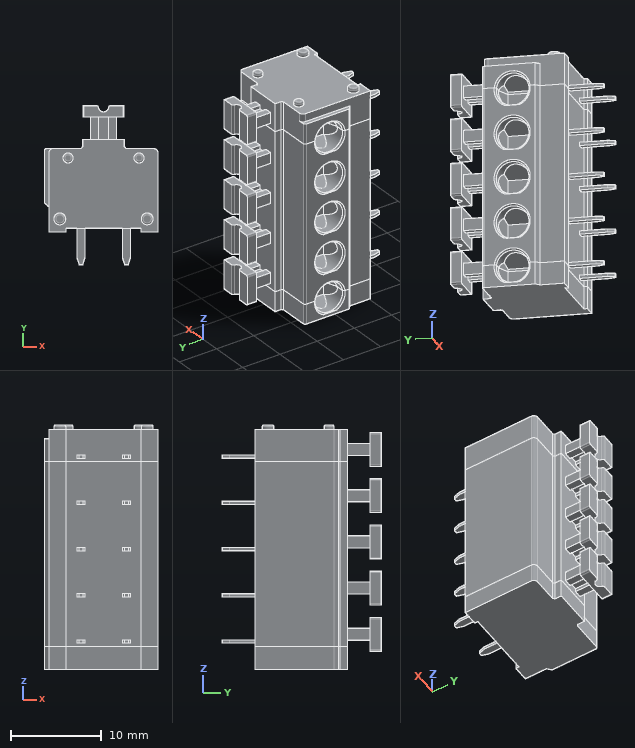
import cadquery as cq

pole_count = 5
pitch = 5.08
end_height = pitch / 2
stack_height = pole_count * pitch
cover_thickness = 1.0
housing_top = stack_height + cover_thickness
upper_split = stack_height - end_height

housing_width = 12.0
half_width = housing_width / 2
shoulder_y = 9.2
shoulder_radius = 0.5
foot_width = 1.9
foot_height = 0.4
ridge_half_width = 2.3
ridge_top = 10.2
ridge_root = 0.18

entry_raise = 0.5
entry_bottom_y = 2.75
entry_slope = 0.45
entry_radius = 0.25

hole_y = 5.8
hole_z = 2.28
hole_diameter = 3.7
hole_chamfer = 0.2
hole_flat = 1.85
bore_depth = 1.2
funnel_length = 1.77
throat_half_width = 1.22
throat_below = 1.34
throat_above = 0.54

pin_z = end_height + 0.55
pin_spacing = 5.0
pin_middle_x = 0.02
pin_width = 0.9
pin_thickness = 0.38
pin_tip_y = -3.6
pin_tip_width = 0.4
pin_taper = 0.8

button_z = end_height + 1.34
head_width = 4.5
head_height = 3.75
head_bottom_y = 12.64
head_top_y = 13.9
head_radius = 0.18
notch_half_width = 0.54
notch_depth = 0.68
notch_rounding = 0.25
stem_width = 2.9
stem_height = 1.35
groove_width = 1.1
groove_depth = 0.47

peg_rows = [(3.9, 8.15, 1.1), (4.8, 1.45, 1.3)]
peg_height = 0.5
peg_rounding = 0.2


def housing_block(z_bottom, z_top):
    """Housing outline with feet and ridge, from z_bottom to z_top."""
    outline = (
        cq.Workplane("XY", origin=(0, 0, z_bottom))
        .moveTo(-half_width, 0)
        .lineTo(-half_width + foot_width, 0)
        .lineTo(-half_width + foot_width, foot_height)
        .lineTo(half_width - foot_width, foot_height)
        .lineTo(half_width - foot_width, 0)
        .lineTo(half_width, 0)
        .lineTo(half_width, shoulder_y - shoulder_radius)
        .radiusArc((half_width - shoulder_radius, shoulder_y), -shoulder_radius)
        .lineTo(ridge_half_width + ridge_root, shoulder_y)
        .lineTo(ridge_half_width, shoulder_y + ridge_root)
        .lineTo(ridge_half_width, ridge_top)
        .lineTo(-ridge_half_width, ridge_top)
        .lineTo(-ridge_half_width, shoulder_y + ridge_root)
        .lineTo(-ridge_half_width - ridge_root, shoulder_y)
        .lineTo(-half_width + shoulder_radius, shoulder_y)
        .radiusArc((-half_width, shoulder_y - shoulder_radius), -shoulder_radius)
        .close()
    )
    return outline.extrude(z_top - z_bottom)


def entry_face(z_bottom, z_top):
    """Raised wire entry face, reaching into the housing past its rounded corner."""
    face_x = -half_width - entry_raise
    inner_x = -half_width + shoulder_radius
    outline = (
        cq.Workplane("XY", origin=(0, 0, z_bottom))
        .moveTo(inner_x, entry_bottom_y)
        .lineTo(-half_width, entry_bottom_y)
        .lineTo(face_x, entry_bottom_y + entry_slope)
        .lineTo(face_x, shoulder_y - entry_radius)
        .radiusArc((face_x + entry_radius, shoulder_y), entry_radius)
        .lineTo(inner_x, shoulder_y)
        .close()
    )
    return outline.extrude(z_top - z_bottom)


def entry_hole(index):
    """Cutter for one wire entry: chamfered bore with a flat floor, then a tapered funnel."""
    centre = (-half_width - entry_raise, hole_y, hole_z + index * pitch)
    radius = hole_diameter / 2
    mouth_radius = radius + hole_chamfer
    depth = bore_depth + funnel_length

    bore = cq.Workplane("YZ", origin=centre).circle(radius).extrude(depth)
    mouth = (
        cq.Workplane("YZ", origin=centre)
        .circle(mouth_radius)
        .workplane(offset=hole_chamfer)
        .circle(radius)
        .loft(ruled=True)
    )
    floor_limit = (
        cq.Workplane("YZ", origin=centre)
        .center(0, (mouth_radius - hole_flat) / 2)
        .rect(2 * mouth_radius, mouth_radius + hole_flat)
        .extrude(bore_depth)
    )
    funnel = (
        cq.Workplane("YZ", origin=centre)
        .workplane(offset=bore_depth)
        .center(0, (radius - hole_flat) / 2)
        .rect(2 * radius, radius + hole_flat)
        .workplane(offset=funnel_length)
        .center(0, (throat_above - throat_below) / 2 - (radius - hole_flat) / 2)
        .rect(2 * throat_half_width, throat_above + throat_below)
        .loft(ruled=True)
    )
    return bore.union(mouth).intersect(floor_limit.union(funnel))


def pin(middle_x, middle_z):
    """Flat solder pin with a tapered tip, starting on the recessed board face."""
    half = pin_width / 2
    half_tip = pin_tip_width / 2
    outline = (
        cq.Workplane("XY", origin=(middle_x, 0, middle_z - pin_thickness / 2))
        .moveTo(-half, foot_height)
        .lineTo(-half, pin_tip_y + pin_taper)
        .lineTo(-half_tip, pin_tip_y)
        .lineTo(half_tip, pin_tip_y)
        .lineTo(half, pin_tip_y + pin_taper)
        .lineTo(half, foot_height)
        .close()
    )
    return outline.extrude(pin_thickness)


def button(middle_z):
    """Release button: grooved stem on the ridge and a notched, rounded head."""
    half_mouth = notch_half_width + notch_rounding
    lip_y = head_top_y - notch_rounding
    notch_floor_y = head_top_y - notch_depth
    head = (
        cq.Workplane("XY", origin=(0, 0, middle_z))
        .center(0, (head_bottom_y + head_top_y) / 2)
        .box(head_width, head_top_y - head_bottom_y, head_height)
        .edges("|Y")
        .fillet(head_radius)
    )
    notch = (
        cq.Workplane("XY", origin=(0, 0, middle_z - head_height / 2))
        .moveTo(-half_mouth, head_top_y)
        .radiusArc((-notch_half_width, lip_y), notch_rounding)
        .threePointArc((0, notch_floor_y), (notch_half_width, lip_y))
        .radiusArc((half_mouth, head_top_y), notch_rounding)
        .close()
        .extrude(head_height)
    )
    stem_length = head_bottom_y - ridge_top
    stem_middle = (0, ridge_top + stem_length / 2, middle_z)
    stem = cq.Workplane("XY", origin=stem_middle).box(stem_width, stem_length, stem_height)
    for side in (-1, 1):
        groove = (
            cq.Workplane("XY", origin=stem_middle)
            .box(groove_width, stem_length, 2 * groove_depth)
            .translate((0, 0, side * stem_height / 2))
        )
        stem = stem.cut(groove)
    return head.cut(notch).union(stem)


def add_pole_parts(body, poles):
    """Join the pins and the button of each listed pole to a housing section."""
    for index in poles:
        rise = index * pitch
        for side in (-1, 1):
            body = body.union(pin(pin_middle_x + side * pin_spacing / 2, pin_z + rise))
        body = body.union(button(button_z + rise))
    return body


def cut_entry_holes(body, poles):
    """Cut the wire entry holes of the listed poles."""
    for index in poles:
        body = body.cut(entry_hole(index))
    return body


def add_pegs(body):
    """Add the rounded locating pegs to the top face."""
    for offset, peg_y, diameter in peg_rows:
        pegs = (
            cq.Workplane("XY", origin=(0, peg_y, housing_top))
            .pushPoints([(-offset, 0), (offset, 0)])
            .circle(diameter / 2)
            .extrude(peg_height)
            .faces(">Z")
            .edges()
            .fillet(peg_rounding)
        )
        body = body.union(pegs)
    return body


last_pole = pole_count - 1

bottom_section = housing_block(0, end_height).union(entry_face(0, end_height))
bottom_section = cut_entry_holes(bottom_section, [0])

middle_section = housing_block(end_height, upper_split).union(entry_face(end_height, upper_split))
middle_section = cut_entry_holes(middle_section, range(pole_count))
middle_section = add_pole_parts(middle_section, range(last_pole))

top_section = housing_block(upper_split, housing_top).union(entry_face(upper_split, stack_height))
top_section = cut_entry_holes(top_section, [last_pole])
top_section = add_pole_parts(top_section, [last_pole])
top_section = add_pegs(top_section)

result = cq.Compound.makeCompound(
    [bottom_section.val(), middle_section.val(), top_section.val()]
)